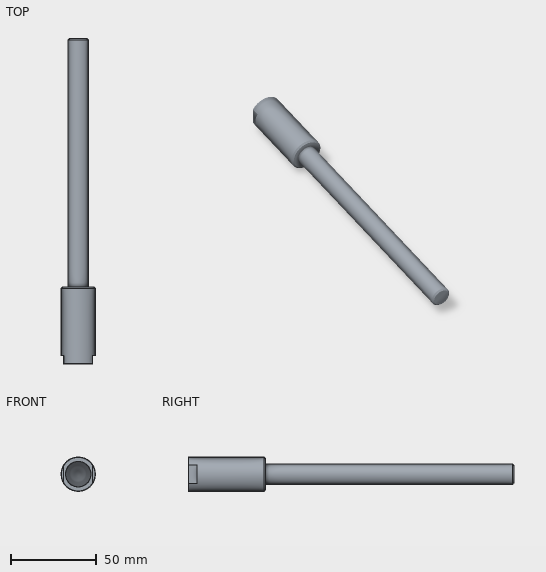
import cadquery as cq

total_length = 190.0
head_diameter = 20.0
head_length = 45.0
rod_diameter = 12.0
edge_chamfer = 1.0

bore_diameter = 14.8
bore_depth = 39.9
cone_depth = 4.4

flat_spacing = 17.0
flat_length = 5.0
clearance_size = 2 * head_diameter

open_end = -total_length / 2


def cylinder(diameter, start, length):
    """Cylinder along +Y whose first face lies at Y = start."""
    plane = cq.Plane(origin=(0, start, 0), xDir=(1, 0, 0), normal=(0, 1, 0))
    return cq.Workplane(plane).circle(diameter / 2).extrude(length)


def body():
    """Rod and larger head, chamfered at their +Y ends."""
    head = cylinder(head_diameter, open_end, head_length).faces(">Y").chamfer(edge_chamfer)
    rod = cylinder(rod_diameter, open_end, total_length).faces(">Y").chamfer(edge_chamfer)
    return head.union(rod)


def blind_bore():
    """Bore from the open end, with a drill-point bottom."""
    radius = bore_diameter / 2
    bore_end = open_end + bore_depth
    profile = (
        cq.Workplane("XY")
        .moveTo(0, open_end)
        .lineTo(radius, open_end)
        .lineTo(radius, bore_end)
        .lineTo(0, bore_end + cone_depth)
        .close()
    )
    return profile.revolve(360, (0, 0, 0), (0, 1, 0))


def wrench_flats():
    """Material outside the two flats at the open end."""
    collar = cylinder(clearance_size, open_end, flat_length)
    kept = (
        cq.Workplane("XY")
        .box(flat_spacing, flat_length, clearance_size)
        .translate((0, open_end + flat_length / 2, 0))
    )
    return collar.cut(kept)


result = body().cut(blind_bore()).cut(wrench_flats())